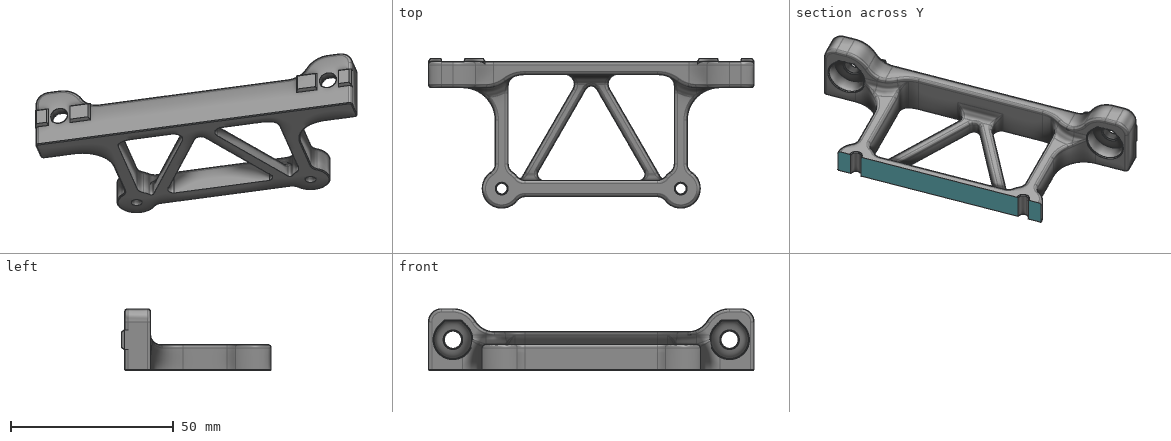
import cadquery as cq
import math


edge_radius = 1.0
base_chamfer = 0.3

half_length = 50.0
back_y = 39.0
beam_thickness = 4.0
beam_height = 12.0
ear_thickness = 8.0
ear_height = 19.0
ear_corner = 4.0
ear_round = 8.1
neck_end_x = 30.0
bend_start_x = 20.4
bend_radius = 10.0
beam_front = back_y - beam_thickness
ear_front = back_y - ear_thickness

screw_x = 42.5
screw_z = 9.5
screw_hole = 5.3
screw_rim = 6.0
head_radius = 5.8
head_floor = 3.0
head_rim_chamfer = 0.3

tab_rise = 1.0
tab_height = 6.0
tab_inner_x = 32.6
tab_draft = 30.0
tab_gap = 6.8
tab_gap_draft = 15.0

frame_height = 8.0
boss_x = 27.5
boss_radius = 6.0
boss_hole = 3.3
boss_rim = 3.9
boss_blend = 3.0
leg_width = 4.0
bar_width = 5.0
flare_radius = 10.0
root_radius = 3.0
leg_outer = boss_x + leg_width / 2
leg_inner = boss_x - leg_width / 2

strut_height = 4.0
strut_width = 3.4
strut_tilt = 30.0
strut_apex_y = 36.9
strut_blend = 2.0
outer_foot_blend = 0.8
root_inset = 0.1

far = 2 * half_length
overlap = 1.0
tiny = 0.1


def with_mirror(shape):
    return shape.union(shape.mirror("YZ"))


def block(x_range, y_range, z_range):
    (x0, x1), (y0, y1), (z0, z1) = x_range, y_range, z_range
    return cq.Workplane("XY").box(x1 - x0, y1 - y0, z1 - z0, centered=False).translate((x0, y0, z0))


def zone(x_range, y_range, z_range):
    return cq.selectors.BoxSelector(*zip(x_range, y_range, z_range))


def beam_column(height):
    """Plan of the rear beam, whose front face steps out to the ears through an S-bend."""
    step = ear_thickness - beam_thickness
    run = math.sqrt(4 * bend_radius * step - step**2)
    bend_end_x = bend_start_x + run
    middle = (bend_start_x + run / 2, beam_front - step / 2)
    half_turn = math.asin(run / 2 / bend_radius) / 2
    sag_x = bend_radius * math.sin(half_turn)
    sag_y = bend_radius * (1 - math.cos(half_turn))
    right_half = (
        cq.Workplane("XY")
        .moveTo(0, back_y)
        .lineTo(half_length, back_y)
        .lineTo(half_length, ear_front)
        .lineTo(bend_end_x, ear_front)
        .threePointArc((bend_end_x - sag_x, ear_front + sag_y), middle)
        .threePointArc((bend_start_x + sag_x, beam_front - sag_y), (bend_start_x, beam_front))
        .lineTo(0, beam_front)
        .close()
        .extrude(height)
    )
    return with_mirror(right_half)


def beam_elevation():
    """Front outline of the beam: each ear rounds over and runs down a neck arc to the beam top."""
    centre_z = ear_height - ear_round
    dx = screw_x - neck_end_x
    dz = beam_height - centre_z
    neck_radius = (dx**2 + dz**2 - ear_round**2) / (2 * (ear_round - dz))
    turn = math.atan2(dx, neck_radius + dz)

    def on_ear(angle):
        return (screw_x - ear_round * math.sin(angle), centre_z + ear_round * math.cos(angle))

    def on_neck(angle):
        return (neck_end_x + neck_radius * math.sin(angle), beam_height + neck_radius * (1 - math.cos(angle)))

    corner_sag = ear_corner * (1 - math.sqrt(0.5))
    right_half = (
        cq.Workplane("XZ", origin=(0, back_y, 0))
        .lineTo(half_length, 0)
        .lineTo(half_length, ear_height - ear_corner)
        .threePointArc(
            (half_length - corner_sag, ear_height - corner_sag), (half_length - ear_corner, ear_height)
        )
        .lineTo(screw_x, ear_height)
        .threePointArc(on_ear(turn / 2), on_ear(turn))
        .threePointArc(on_neck(turn / 2), on_neck(0))
        .lineTo(0, beam_height)
        .close()
        .extrude(ear_thickness)
    )
    return with_mirror(right_half)


def beam():
    body = beam_column(ear_height).intersect(beam_elevation())
    above_base = zone((-far, far), (0, far), (tiny, far))
    outline = body.edges("not (|Y or |Z)").edges(above_base)
    end_corners = body.edges("|Z").edges("<X or >X")
    return outline.add(end_corners).fillet(edge_radius)


def open_space(floor_z):
    """Room above floor_z in front of the beam, its floor curving up into the beam face."""
    space = block((-half_length, half_length), (-far, back_y), (floor_z, far)).cut(beam_column(far))
    roots = zone(
        (-far, far), (ear_front - tiny, beam_front + tiny), (floor_z - tiny, floor_z + tiny)
    )
    return space.edges(roots).fillet(root_radius)


def leg(height):
    """Right leg, widening through a quarter-round flare into the front face of the ear."""
    sag = flare_radius * (1 - math.sqrt(0.5))
    return (
        cq.Workplane("XY")
        .moveTo(leg_inner, 0)
        .lineTo(leg_outer, 0)
        .lineTo(leg_outer, ear_front - flare_radius)
        .threePointArc((leg_outer + sag, ear_front - sag), (leg_outer + flare_radius, ear_front))
        .lineTo(leg_outer + flare_radius, back_y - overlap)
        .lineTo(leg_inner, back_y - overlap)
        .close()
        .extrude(height)
    )


def beam_core(height):
    """Middle of the beam, kept clear of its rounded back edges and outer ends."""
    reach = leg_outer + flare_radius
    return beam_column(height).intersect(block((-reach, reach), (0, back_y - overlap), (0, height)))


def bossed_bar(height):
    """Front bar, bosses and legs with the boss corners blended, cut off at one height."""
    boss = cq.Workplane("XY").center(boss_x, 0).circle(boss_radius).extrude(height)
    bar = block((-boss_x, boss_x), (-bar_width / 2, bar_width / 2), (0, height))
    body = bar.union(with_mirror(leg(height).union(boss)))
    boss_zone = zone((-far, far), (-boss_radius, 2 * boss_radius), (0, height))
    return body.edges("|Z").edges(boss_zone).fillet(boss_blend)


def frame():
    root_top = frame_height + root_radius
    body = bossed_bar(root_top)
    body = body.union(beam_core(root_top))
    for side in (-1, 1):
        x = side * leg_inner
        corner = zone((x - tiny, x + tiny), (ear_front, beam_front), (0, ear_height))
        body = body.edges("|Z").edges(corner).fillet(root_radius)
    body = body.cut(open_space(frame_height))
    top_edges = zone(
        (-far, far), (-far, ear_front - root_radius - tiny), (frame_height - tiny, frame_height + tiny)
    )
    return body.edges(top_edges).fillet(edge_radius)


def struts():
    """Pair of struts meeting at the beam, with their feet and apex blended in every direction.

    The backing bars stop short of the real faces by root_inset, so each blend still has a
    clean edge where it sinks into the bar or the beam.
    """
    root_top = strut_height + root_radius
    tilt = math.radians(strut_tilt)
    bar_back = bar_width / 2
    foot = bar_back - root_inset
    head = beam_front + root_inset
    right = (
        cq.Workplane("XY", origin=(0, strut_apex_y, 0))
        .transformed(rotate=(0, 0, strut_tilt))
        .rect(strut_width, 2 * strut_apex_y / math.cos(tilt))
        .extrude(root_top)
        .intersect(block((0, leg_inner), (0, back_y - overlap), (0, root_top)))
    )
    outer_foot_limit = leg_inner - boss_blend
    foot_x = (strut_apex_y - foot) * math.tan(tilt)
    body = bossed_bar(root_top).intersect(block((-boss_x, boss_x), (0, bar_back + strut_blend), (0, root_top)))
    body = body.cut(block((-foot_x, foot_x), (foot, far), (0, root_top)))
    body = body.union(with_mirror(right))
    body = body.union(block((-leg_inner, leg_inner), (head, back_y - overlap), (0, root_top)))
    inner_corners = zone((-foot_x, foot_x), (tiny, head - tiny), (0, far))
    body = body.edges("|Z").edges(inner_corners).fillet(strut_blend)
    for x_range in ((-outer_foot_limit, -foot_x), (foot_x, outer_foot_limit)):
        outer_foot = zone(x_range, (bar_back + tiny, boss_radius), (0, far))
        body = body.edges("|Z").edges(outer_foot).fillet(outer_foot_blend)
    strut_heads = zone((tiny - leg_inner, leg_inner - tiny), (head - tiny, head + tiny), (0, far))
    body = body.edges("|Z").edges(strut_heads).fillet(root_radius)

    floor_band = (strut_height - tiny, strut_height + tiny)
    space = block((-half_length, half_length), (bar_back, beam_front), (strut_height, far))
    space = space.edges(zone((-far, far), (beam_front - tiny, far), floor_band)).fillet(root_radius)
    space = space.edges(zone((-far, far), (0, bar_back + tiny), floor_band)).fillet(strut_blend)
    body = body.cut(space)
    top_range = (bar_back + strut_blend + tiny, beam_front - root_radius - tiny)
    strut_edges = zone((-far, far), top_range, floor_band)
    return body.edges(strut_edges).fillet(edge_radius)


def rimmed_hole(hole_diameter, rim_diameter, plane):
    """Long round cutter entering a plane face, with a 45 degree chamfer at its mouth."""
    rim_depth = (rim_diameter - hole_diameter) / 2
    hole = cq.Workplane(plane).circle(hole_diameter / 2).extrude(-far)
    rim = cq.Workplane(plane).circle(rim_diameter / 2).extrude(-rim_depth, taper=45)
    return hole.union(rim)


def head_outline(radius):
    """Teardrop on the XZ plane: a circle whose 45 degree tangents stop at a flat roof."""
    touch = radius * math.sqrt(0.5)
    half_flat = radius * (math.sqrt(2) - 1)
    return (
        cq.Workplane("XZ")
        .moveTo(-half_flat, radius)
        .lineTo(half_flat, radius)
        .lineTo(touch, touch)
        .threePointArc((0, -radius), (-touch, touch))
        .close()
    )


def screw_cutter():
    floor_y = back_y - head_floor
    pocket = head_outline(head_radius).extrude(-floor_y)
    mouth = head_outline(head_radius + head_rim_chamfer).extrude(-head_rim_chamfer, taper=45)
    mouth = mouth.translate((0, ear_front, 0))
    hole = rimmed_hole(screw_hole, screw_rim, "XZ").translate((0, floor_y, 0))
    return pocket.union(mouth).union(hole).translate((screw_x, 0, screw_z))


def boss_cutter():
    return rimmed_hole(boss_hole, boss_rim, "XY").translate((boss_x, 0, frame_height))


def tab():
    """Drafted rib on the back face, rooted into the rounded corner and parted around the screw."""
    length = half_length - tab_inner_x
    centre_x = (half_length + tab_inner_x) / 2
    rib = cq.Workplane("XZ").rect(length, tab_height).extrude(-tab_rise, taper=tab_draft)
    root = cq.Workplane("XZ").rect(length, tab_height).extrude(edge_radius)
    rib = rib.union(root).translate((centre_x, back_y, screw_z))
    gap = cq.Workplane("XZ").rect(tab_gap, far).extrude(-tab_rise, taper=-tab_gap_draft)
    return rib.cut(gap.translate((screw_x, back_y, screw_z)))


result = frame().union(beam()).union(struts())
outer_outline = result.faces("<Z").wires(cq.selectors.LengthNthSelector(-1)).edges()
result = outer_outline.chamfer(base_chamfer)
result = result.union(with_mirror(tab()))
result = result.cut(with_mirror(screw_cutter())).cut(with_mirror(boss_cutter()))